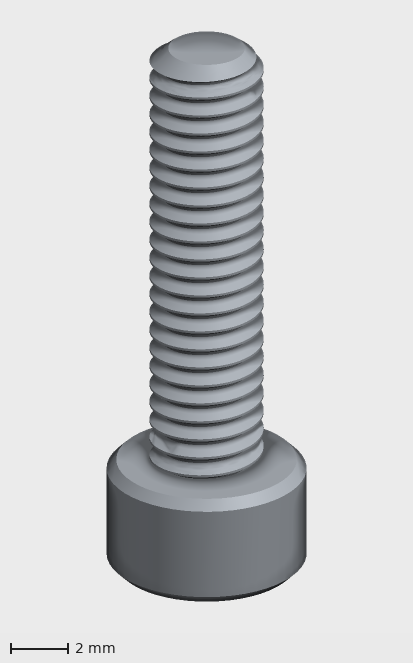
import cadquery as cq
import math

total_length = 20
head_diameter = 7
head_height = 4
head_chamfer = 0.35

thread_diameter = 4
root_diameter = 3.1
thread_pitch = 0.7
crest_width = thread_pitch / 8
flank_half_angle = math.radians(30)
crest_height_at_start = 0.4

tip_diameter = 2.68
tip_taper_height = 0.5

core_overlap = 0.05
end_allowance = 2
wall_clearance = 0.4

thread_radius = thread_diameter / 2
root_radius = root_diameter / 2
tip_radius = tip_diameter / 2


def make_head():
    """Cylinder with both rims chamfered."""
    head = cq.Workplane("XY").circle(head_diameter / 2).extrude(head_height)
    return head.edges("%CIRCLE").chamfer(head_chamfer)


def make_core():
    """Plain cylinder at the thread root, longer than the shank at both ends."""
    core = cq.Workplane("XY").workplane(offset=head_height - end_allowance).circle(root_radius)
    return core.extrude(total_length - head_height + 2 * end_allowance)


def make_thread_ridge():
    """Right-handed helical ridge that runs past both ends of the shank."""
    flank_slope = math.tan(flank_half_angle)
    foot_radius = root_radius - core_overlap
    crest_half_width = crest_width / 2
    foot_half_width = crest_half_width + (thread_radius - foot_radius) * flank_slope

    start_height = head_height + crest_height_at_start - 2 * thread_pitch
    turns = math.ceil((total_length - start_height) / thread_pitch) + 1
    helix = cq.Wire.makeHelix(
        thread_pitch, turns * thread_pitch, root_radius, center=cq.Vector(0, 0, start_height)
    )
    profile = cq.Workplane("XZ").polyline([
        (foot_radius, start_height - foot_half_width),
        (thread_radius, start_height - crest_half_width),
        (thread_radius, start_height + crest_half_width),
        (foot_radius, start_height + foot_half_width),
    ]).close()
    return profile.sweep(cq.Workplane(helix), isFrenet=True)


def make_shank_envelope():
    """Solid with the shank's flat ends and conical tip; its wall stands clear of the crests."""
    wall_radius = thread_radius + wall_clearance
    taper_slope = tip_taper_height / (thread_radius - tip_radius)
    taper_base = total_length - (wall_radius - tip_radius) * taper_slope
    return (
        cq.Workplane("XZ")
        .moveTo(0, head_height)
        .lineTo(wall_radius, head_height)
        .lineTo(wall_radius, taper_base)
        .lineTo(tip_radius, total_length)
        .lineTo(0, total_length)
        .close()
        .revolve(360, (0, 0), (0, 1))
    )


threaded_rod = make_core().union(make_thread_ridge(), clean=False)
shank = threaded_rod.intersect(make_shank_envelope(), clean=False)
result = make_head().union(shank, clean=False)